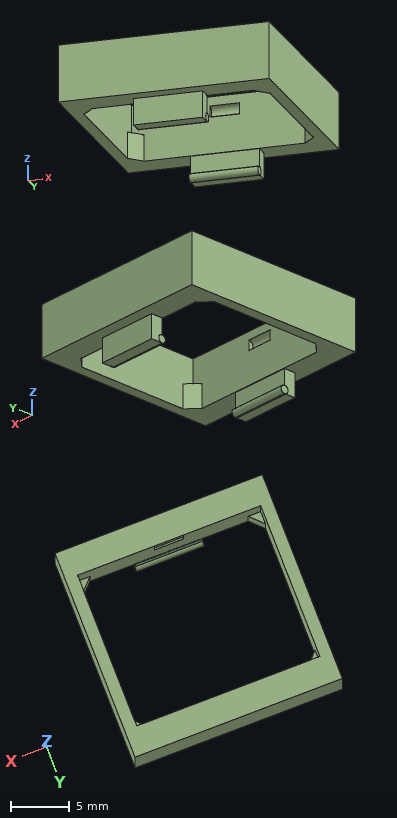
import cadquery as cq

frame_side = 19.05
total_height = 7.6
arm_drop = 2.4
frame_height = total_height - arm_drop

side_wall = 1.12
end_wall = 2.5
opening_x = frame_side - 2 * side_wall
opening_y = frame_side - 2 * end_wall

corner_leg = 1.15
corner_height = 2.4

groove_diameter = 1.0
groove_length = 2.67
groove_depth_below_top = 1.35

arm_length = 6.25
arm_thickness = 1.22
arm_outer_inset = 1.2
arm_inner_y = frame_side / 2 - arm_outer_inset - arm_thickness
pin_diameter = 0.8

BOTH_SIDES = (-1, 1)


def rod_along_x(diameter, length, y, z):
    """Cylinder parallel to X, centred on X = 0."""
    return (
        cq.Workplane("YZ", origin=(-length / 2, y, z))
        .circle(diameter / 2)
        .extrude(length)
    )


def make_corner_block(x_side, y_side):
    """Triangular prism filling one lower corner of the opening."""
    corner_x = x_side * opening_x / 2
    corner_y = y_side * opening_y / 2
    return (
        cq.Workplane("XY", origin=(0, 0, arm_drop))
        .moveTo(corner_x, corner_y)
        .lineTo(corner_x - x_side * corner_leg, corner_y)
        .lineTo(corner_x, corner_y - y_side * corner_leg)
        .close()
        .extrude(corner_height)
    )


def make_frame():
    """Square frame with corner blocks and a groove in each end wall."""
    frame = (
        cq.Workplane("XY", origin=(0, 0, arm_drop))
        .rect(frame_side, frame_side)
        .rect(opening_x, opening_y)
        .extrude(frame_height)
    )
    for x_side in BOTH_SIDES:
        for y_side in BOTH_SIDES:
            frame = frame.union(make_corner_block(x_side, y_side))

    groove_z = total_height - groove_depth_below_top
    for y_side in BOTH_SIDES:
        groove_y = y_side * opening_y / 2
        frame = frame.cut(rod_along_x(groove_diameter, groove_length, groove_y, groove_z))
    return frame


def make_pin(y_side):
    """Snap pin centred on the inner face of its arm and level with the arm's foot."""
    return rod_along_x(pin_diameter, arm_length, y_side * arm_inner_y, pin_diameter / 2)


def make_arm(y_side):
    """Clip arm with a half-round recess that seats its pin."""
    arm_y = y_side * (arm_inner_y + arm_thickness / 2)
    arm = (
        cq.Workplane("XY", origin=(0, arm_y, 0))
        .rect(arm_length, arm_thickness)
        .extrude(arm_drop)
    )
    return arm.cut(make_pin(y_side))


frame = make_frame()
arms = [make_arm(y_side) for y_side in BOTH_SIDES]
pins = [make_pin(y_side) for y_side in BOTH_SIDES]

result = cq.Compound.makeCompound(
    [
        frame.solids().val(),
        *[arm.solids().val() for arm in arms],
        *[pin.val() for pin in pins],
    ]
)